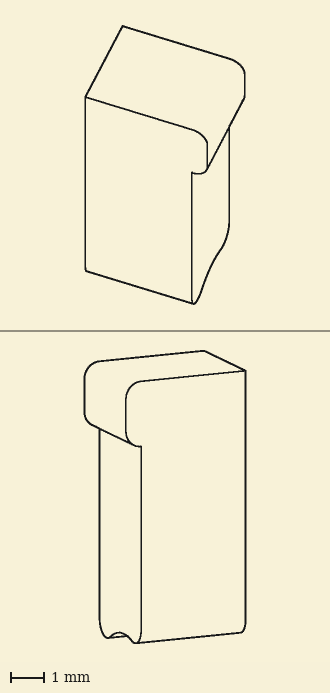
import cadquery as cq
import math

body_length = 3.44
body_width = 3.0
total_height = 8.38
lip_height = 2.0
lip_radius = 0.5
foot_radius = 0.5
foot_step = 0.25
hollow_radius = 1.75

lip_length = body_length + lip_radius


def make_side_profile():
    """L-shaped XZ outline with a round-edged lip, extruded along +Y."""
    lip_bottom = total_height - lip_height
    outline = (
        cq.Workplane("XZ")
        .lineTo(body_length, 0)
        .lineTo(body_length, lip_bottom)
        .radiusArc((lip_length, lip_bottom + lip_radius), -lip_radius)
        .lineTo(lip_length, total_height - lip_radius)
        .radiusArc((body_length, total_height), -lip_radius)
        .lineTo(0, total_height)
        .close()
    )
    return outline.extrude(-body_width)


def make_foot_profile():
    """YZ outline with two round feet and a tangent hollow, extruded along +X."""
    front_y, front_z = foot_radius, foot_radius
    rear_y, rear_z = body_width - foot_radius, foot_radius + foot_step

    center_distance = hollow_radius + foot_radius
    foot_spacing = math.hypot(rear_y - front_y, rear_z - front_z)
    slope = math.atan2(rear_z - front_z, rear_y - front_y)
    drop = math.sqrt(center_distance**2 - (foot_spacing / 2) ** 2)
    hollow_y = (front_y + rear_y) / 2 + drop * math.sin(slope)
    hollow_z = (front_z + rear_z) / 2 - drop * math.cos(slope)

    ratio = foot_radius / center_distance
    front_tangent = (front_y + ratio * (hollow_y - front_y), front_z + ratio * (hollow_z - front_z))
    rear_tangent = (rear_y + ratio * (hollow_y - rear_y), rear_z + ratio * (hollow_z - rear_z))

    outline = (
        cq.Workplane("YZ")
        .moveTo(0, total_height)
        .lineTo(0, front_z)
        .radiusArc(front_tangent, -foot_radius)
        .radiusArc(rear_tangent, hollow_radius)
        .radiusArc((body_width, rear_z), -foot_radius)
        .lineTo(body_width, total_height)
        .close()
    )
    return outline.extrude(lip_length)


result = make_side_profile().intersect(make_foot_profile())